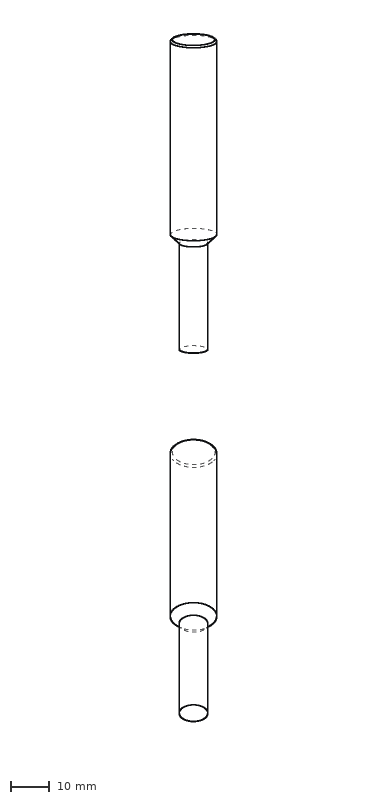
import cadquery as cq

total_length = 83.0
barrel_diameter = 12.0
shank_diameter = 7.4
shank_length = 28.5
top_chamfer = 0.5

collar_height = (barrel_diameter - shank_diameter) / 2
collar_top = shank_length + collar_height
barrel_length = total_length - collar_top


def make_shank():
    """Thin plain cylinder standing on the XY plane."""
    return cq.Workplane("XY").circle(shank_diameter / 2).extrude(shank_length)


def make_collar():
    """Conical collar widening from the shank to the barrel."""
    return cq.Workplane(
        cq.Solid.makeCone(
            shank_diameter / 2,
            barrel_diameter / 2,
            collar_height,
            pnt=cq.Vector(0, 0, shank_length),
        )
    )


def make_barrel():
    """Thick cylinder with a small chamfer around its top end."""
    barrel = cq.Workplane("XY").workplane(offset=collar_top)
    barrel = barrel.circle(barrel_diameter / 2).extrude(barrel_length)
    return barrel.faces(">Z").chamfer(top_chamfer)


shank = make_shank()
collar = make_collar()
barrel = make_barrel()

result = cq.Compound.makeCompound([shank.val(), collar.val(), barrel.val()])